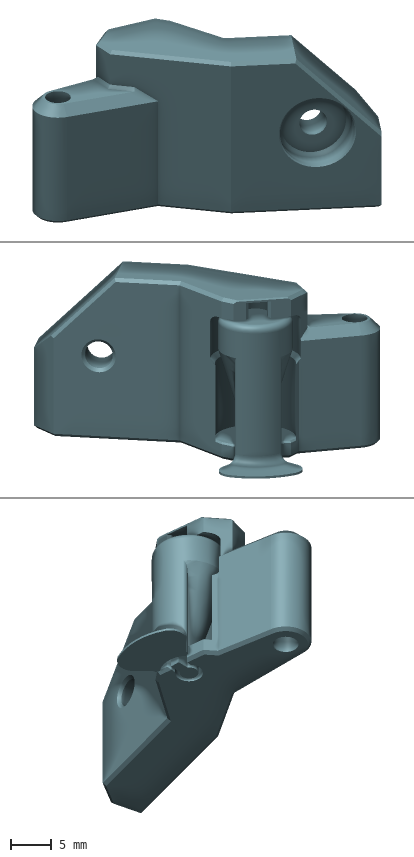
import cadquery as cq
import math

height = 20.9
edge_chamfer = 0.4
mouth_chamfer = 0.15

arm_angle = 70.0
arm_root = 9.9
arm_end = 28.5
arm_near_side = 2.75
arm_far_side = 10.0
arm_corner_cut = 2.95
slope_start = 18.0

screw_along = 20.25
screw_tilt = 5.0
screw_z = 10.8
screw_diameter = 3.45
screw_chamfer = 0.4
bore_diameter = 9.17
bore_depth = 2.83
bore_mouth_chamfer = 0.15
bore_floor_chamfer = 0.5

mouth_top = (-2.35, 3.15)
mouth_shoulder = (-1.05, 4.45)
mouth_bottom = (-2.15, -4.05)
nose_left = (0.4, -6.55)
nose_right = (3.4, -6.05)

lug_x = 2.95
lug_y = -12.95
lug_radius = 3.15
lug_taper = 5.0
lug_length = 11.88
lug_height = 15.9
lug_chamfer = 1.23
lug_hole_diameter = 3.15

pocket_floor = 2.0
pocket_step = 11.85
pocket_ceiling = 18.35
pocket_radius = 5.0
pocket_head_radius = 5.55
pocket_fillet = 1.05
pocket_lip = 0.2

keyhole_radius = 1.7
keyhole_neck = 2.45
keyhole_mouth = 3.28
keyhole_mouth_x = -2.35
keyhole_top = 20.48

latch_angle = 175.0
latch_radius = 4.6
head_bottom = 13.8
head_top = 18.1
head_fillet = 0.85
leaf_thickness = 1.0
leaf_half_angle = 35.4
tongue_length = 2.5
tongue_thickness = 1.3
cone_bottom = 2.6
pin_radius = 1.15
flange_radius = 9.25
flange_thickness = 0.3
flange_fillet = 1.02
flange_apex = 0.5
flange_corner = 2.05


def arm_point(along, across):
    """Plan position given along the arm and across it."""
    angle = math.radians(arm_angle)
    x = along * math.cos(angle) + across * math.sin(angle)
    y = along * math.sin(angle) - across * math.cos(angle)
    return (x, y)


def outline_sketch():
    """Closed plan outline of the housing without its lug."""
    corners = [
        mouth_top,
        mouth_shoulder,
        arm_point(arm_root, arm_near_side),
        arm_point(arm_end - arm_corner_cut, arm_near_side),
        arm_point(arm_end, arm_near_side + arm_corner_cut),
        arm_point(arm_end, arm_far_side),
        arm_point(arm_root, arm_far_side),
        nose_right,
        nose_left,
        mouth_bottom,
    ]
    return cq.Workplane("XY").polyline(corners).close()


def along_arm(edge):
    """Component of an edge direction that runs along the arm."""
    direction = edge.tangentAt(0)
    angle = math.radians(arm_angle)
    return direction.x * math.cos(angle) + direction.y * math.sin(angle)


def is_mouth_edge(edge):
    """Level edge of the face that the latch pocket opens through."""
    middle_x = (mouth_top[0] + mouth_bottom[0]) / 2
    return abs(edge.Center().x - middle_x) < mouth_chamfer


def is_upper_rim(edge):
    """Upper edges with a full chamfer: not the end of the arm, the crease or the mouth."""
    half_drop = (arm_end - slope_start) / 2
    is_high = edge.Center().z > height - half_drop - edge_chamfer
    is_crease = abs(along_arm(edge)) < 0.01
    return is_high and not is_crease and not is_mouth_edge(edge)


def arm_slope():
    """Wedge removed above the arm, falling at 45 degrees towards its end."""
    reach = height
    far = slope_start + reach
    wedge = (
        cq.Workplane("XZ")
        .polyline([(slope_start, height), (far, height - reach), (far, height)])
        .close()
        .extrude(reach, both=True)
    )
    return wedge.rotate((0, 0, 0), (0, 0, 1), arm_angle)


def block():
    body = outline_sketch().extrude(height)
    body = body.cut(arm_slope())
    body = body.edges().filter(is_upper_rim).chamfer(edge_chamfer)
    body = body.faces(">Z").edges().filter(is_mouth_edge).chamfer(mouth_chamfer)
    return body.faces("<Z").edges().chamfer(edge_chamfer)


def lug_profile(radius):
    """Tapered lug outline, closed by a round end about the lug hole."""
    angle = math.radians(lug_taper)
    tangent_x = radius * math.cos(angle)
    tangent_y = -radius * math.sin(angle)
    root_x = tangent_x + (lug_length - tangent_y) * math.tan(angle)
    return (
        cq.Workplane("XY")
        .moveTo(lug_x - root_x, lug_y + lug_length)
        .lineTo(lug_x - tangent_x, lug_y + tangent_y)
        .threePointArc((lug_x, lug_y - radius), (lug_x + tangent_x, lug_y + tangent_y))
        .lineTo(lug_x + root_x, lug_y + lug_length)
        .close()
    )


def lug():
    body = lug_profile(lug_radius).extrude(lug_height)
    body = body.faces(">Z").edges("not >Y").chamfer(lug_chamfer)
    return body.faces("<Z").edges("not >Y").chamfer(edge_chamfer)


def lug_corner_fill():
    """Sloping fill where the top of the lug meets the block."""
    skirt = outline_sketch().offset2D(edge_chamfer, "intersection").extrude(edge_chamfer, taper=45)
    lug_top = lug_profile(lug_radius - lug_chamfer).extrude(edge_chamfer, taper=45)
    return skirt.intersect(lug_top).translate((0, 0, lug_height))


def lug_hole():
    return cq.Workplane("XY").center(lug_x, lug_y).circle(lug_hole_diameter / 2).extrude(height)


def screw_hole():
    """Stepped hole turned about an axis through the middle of the arm, tilted from square."""
    small = screw_diameter / 2
    large = bore_diameter / 2
    middle = (arm_near_side + arm_far_side) / 2
    half_thickness = (arm_far_side - arm_near_side) / 2
    floor = half_thickness - bore_depth
    overshoot = 2 * half_thickness
    profile = [
        (0, -overshoot),
        (small, -overshoot),
        (small, floor),
        (large - bore_floor_chamfer, floor),
        (large, floor + bore_floor_chamfer),
        (large, overshoot),
        (0, overshoot),
    ]
    hole = cq.Workplane("XY").polyline(profile).close().revolve(360, (0, 0), (0, 1))
    hole = hole.rotate((0, 0, 0), (0, 0, 1), arm_angle + screw_tilt + 180)
    return hole.translate((*arm_point(screw_along, middle), screw_z))


def drilled_block():
    """The tilted hole meets the arm sides in ellipses, which are chamfered."""
    body = block().cut(screw_hole())
    body = body.edges("%ELLIPSE").edges("<X").chamfer(screw_chamfer)
    return body.edges("%ELLIPSE").edges(">X").chamfer(bore_mouth_chamfer)


def pocket():
    step = pocket_head_radius - pocket_radius
    floor = pocket_floor + pocket_lip
    lower = cq.Workplane("XY").workplane(offset=floor).circle(pocket_radius).extrude(pocket_step - floor)
    flare = cq.Solid.makeCone(pocket_radius, pocket_head_radius, step, pnt=cq.Vector(0, 0, pocket_step))
    upper = (
        cq.Workplane("XY")
        .workplane(offset=pocket_step + step)
        .circle(pocket_head_radius)
        .extrude(pocket_ceiling - pocket_step - step)
        .faces(">Z")
        .edges()
        .fillet(pocket_fillet)
    )
    return lower.union(flare).union(upper)


def pocket_lip_chamfer():
    """Chamfer along the open edge of the pocket floor."""
    disc = cq.Workplane("XY").circle(pocket_radius).extrude(pocket_lip)
    kept = outline_sketch().extrude(pocket_lip, taper=45)
    return disc.cut(kept).translate((0, 0, pocket_floor))


def keyhole():
    """Round hole about the latch axis with a neck that flares at the pocket mouth."""
    flare = (keyhole_mouth - keyhole_neck) / 2
    neck_x = keyhole_mouth_x + flare
    half_neck = keyhole_neck / 2
    half_mouth = keyhole_mouth / 2
    neck = (
        cq.Workplane("XY")
        .moveTo(0, half_neck)
        .lineTo(neck_x, half_neck)
        .lineTo(keyhole_mouth_x, half_mouth)
        .lineTo(-latch_radius, half_mouth)
        .lineTo(-latch_radius, -half_mouth)
        .lineTo(keyhole_mouth_x, -half_mouth)
        .lineTo(neck_x, -half_neck)
        .lineTo(0, -half_neck)
        .close()
        .extrude(keyhole_top)
    )
    hole = cq.Workplane("XY").circle(keyhole_radius).extrude(keyhole_top)
    return hole.union(neck)


def make_housing():
    body = drilled_block().union(lug()).union(lug_corner_fill())
    body = body.cut(lug_hole())
    body = body.cut(pocket()).cut(pocket_lip_chamfer())
    return body.cut(keyhole())


def latch_head():
    thickness = head_top - head_bottom
    head = cq.Workplane("XY").workplane(offset=head_bottom).circle(latch_radius).extrude(thickness)
    return head.faces(">Z").edges().fillet(head_fillet)


def latch_cone():
    """Cone under the head that narrows towards the pocket floor."""
    return cq.Workplane(
        cq.Solid.makeCone(
            pin_radius, latch_radius, head_bottom - cone_bottom, pnt=cq.Vector(0, 0, cone_bottom)
        )
    )


def at_angle(radius, degrees):
    """Plan position given by radius and angle about the latch axis."""
    angle = math.radians(degrees)
    return (radius * math.cos(angle), radius * math.sin(angle))


def latch_leaf():
    """Curved strip with round ends; it faces +X until the latch is turned."""
    inner = latch_radius - leaf_thickness
    middle = latch_radius - leaf_thickness / 2
    end = leaf_half_angle
    end_tip = math.degrees(leaf_thickness / 2 / middle)
    return (
        cq.Workplane("XY")
        .moveTo(*at_angle(latch_radius, -end))
        .threePointArc((latch_radius, 0), at_angle(latch_radius, end))
        .threePointArc(at_angle(middle, end + end_tip), at_angle(inner, end))
        .threePointArc((inner, 0), at_angle(inner, -end))
        .threePointArc(at_angle(middle, -end - end_tip), at_angle(latch_radius, -end))
        .close()
        .extrude(head_bottom)
    )


def latch_tongue():
    """Rib from the pin through the neck of the keyhole; it faces +X until the latch is turned."""
    return (
        cq.Workplane("XY")
        .rect(tongue_length, tongue_thickness)
        .extrude(head_bottom - leaf_thickness)
        .translate((tongue_length / 2, 0, 0))
    )


def latch_pin():
    return cq.Workplane("XY").circle(pin_radius).extrude(cone_bottom)


def cove(inner, outer, angle):
    """Turned cove round a wall whose outer radius is given, standing on the flange plate."""
    bend = flange_fillet * (1 - math.sqrt(0.5))
    return (
        cq.Workplane("XZ")
        .moveTo(inner, 0)
        .lineTo(outer + flange_fillet, 0)
        .lineTo(outer + flange_fillet, flange_thickness)
        .threePointArc((outer + bend, flange_thickness + bend), (outer, flange_thickness + flange_fillet))
        .lineTo(inner, flange_thickness + flange_fillet)
        .close()
        .revolve(angle, (0, 0), (0, 1))
    )


def flange_wedge(thickness):
    side = flange_radius
    return (
        cq.Workplane("XY")
        .polyline([(flange_apex, 0), (flange_apex + side, side), (flange_apex + side, -side)])
        .close()
        .extrude(thickness)
    )


def flange_plate():
    """Thin foot that spreads outwards from the leaf, with rounded outer corners."""
    inner = latch_radius - leaf_thickness
    ring = cq.Workplane("XY").circle(flange_radius).circle(inner).extrude(flange_thickness)
    plate = ring.intersect(flange_wedge(flange_thickness))
    reach = latch_radius + flange_fillet
    low_corner = (reach, -flange_radius, -0.4)
    high_corner = (flange_radius, flange_radius, flange_thickness)
    outer = cq.selectors.BoxSelector(low_corner, high_corner)
    return plate.edges("|Z").edges(outer).fillet(flange_corner)


def leaf_coves():
    """Coves along the outside of the leaf and round its two ends."""
    inner = latch_radius - leaf_thickness
    middle = latch_radius - leaf_thickness / 2
    cove_top = flange_thickness + flange_fillet
    coves = cove(inner, latch_radius, 2 * leaf_half_angle).rotate((0, 0, 0), (0, 0, 1), -leaf_half_angle)
    for side in (-1, 1):
        centre = at_angle(middle, side * leaf_half_angle)
        coves = coves.union(cove(0, leaf_thickness / 2, 360).translate((*centre, 0)))
    hollow = cq.Workplane("XY").circle(inner).extrude(cove_top)
    return coves.intersect(flange_wedge(cove_top)).cut(hollow)


def make_latch():
    body = latch_leaf().union(flange_plate()).union(leaf_coves()).union(latch_tongue())
    body = body.rotate((0, 0, 0), (0, 0, 1), latch_angle)
    return body.union(latch_pin()).union(latch_cone()).union(latch_head()).clean()


housing = make_housing()
latch = make_latch()

result = cq.Compound.makeCompound([housing.val(), latch.val()])